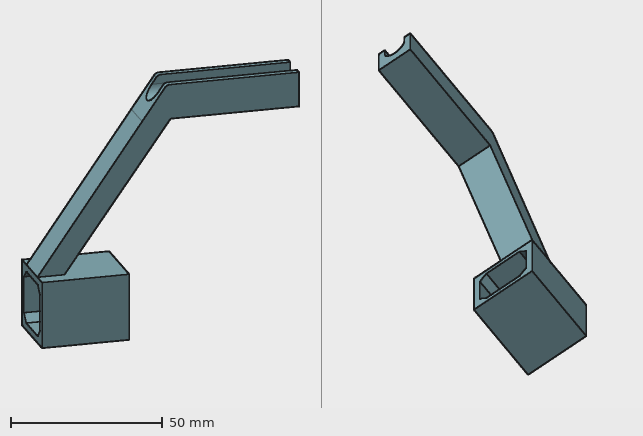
import cadquery as cq

SOCKET_WIDTH = 24.0
SOCKET_LENGTH = 30.0
SOCKET_HEIGHT = 23.0
SOCKET_WALL = 2.5
BORE_CHAMFER = 2.7

ARM_WIDTH = 13.0
OVERALL_LENGTH = 90.0
OVERALL_HEIGHT = 86.0
RAIL_THICKNESS = 12.0
LEG_FOOT_LENGTH = 9.3
LEG_REAR_TOP_Y = 45.8
LEG_FRONT_TOP_Y = 36.0
RAIL_FRONT_TOP_Y = 44.5
BEND_RADIUS = 2.0

CHANNEL_WIDTH = 8.0
CHANNEL_DEPTH = 7.0

RAIL_BOTTOM_Z = OVERALL_HEIGHT - RAIL_THICKNESS


def make_socket():
    """Rectangular tube with chamfered inner corners."""
    block = cq.Workplane("XY").box(
        SOCKET_WIDTH, SOCKET_LENGTH, SOCKET_HEIGHT, centered=(True, False, False)
    )
    bore = (
        cq.Workplane("XY")
        .box(
            SOCKET_WIDTH - 2 * SOCKET_WALL,
            SOCKET_LENGTH,
            SOCKET_HEIGHT - 2 * SOCKET_WALL,
            centered=(True, False, False),
        )
        .translate((0, 0, SOCKET_WALL))
        .edges("|Y")
        .chamfer(BORE_CHAMFER)
    )
    return block.cut(bore)


def make_arm():
    """Leg and rail as one side profile, rounded at the upper bend."""
    profile = [
        (0, SOCKET_HEIGHT),
        (LEG_FOOT_LENGTH, SOCKET_HEIGHT),
        (LEG_REAR_TOP_Y, RAIL_BOTTOM_Z),
        (OVERALL_LENGTH, RAIL_BOTTOM_Z),
        (OVERALL_LENGTH, OVERALL_HEIGHT),
        (RAIL_FRONT_TOP_Y, OVERALL_HEIGHT),
        (LEG_FRONT_TOP_Y, RAIL_BOTTOM_Z),
    ]
    arm = cq.Workplane("YZ").polyline(profile).close().extrude(ARM_WIDTH / 2, both=True)
    bend_edge = arm.faces(">Z").edges("<Y")
    return bend_edge.fillet(BEND_RADIUS)


def make_channel():
    """Cutter for the U-shaped channel, running the whole length along Y."""
    radius = CHANNEL_WIDTH / 2
    bottom_z = OVERALL_HEIGHT - CHANNEL_DEPTH
    arc_center_z = bottom_z + radius
    return (
        cq.Workplane("XZ")
        .moveTo(-radius, OVERALL_HEIGHT)
        .lineTo(-radius, arc_center_z)
        .threePointArc((0, bottom_z), (radius, arc_center_z))
        .lineTo(radius, OVERALL_HEIGHT)
        .close()
        .extrude(-OVERALL_LENGTH)
    )


result = make_socket().union(make_arm()).cut(make_channel())